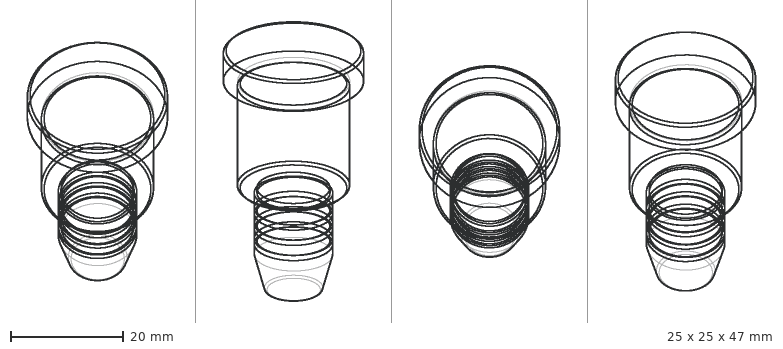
import cadquery as cq
import math

head_radius = 12.5
head_height = 6.0

shank_radius = 10.0
shank_length = 21.0
edge_chamfer = 0.5

groove_radius = 0.5
groove_width = 2 * groove_radius

neck_radius = 6.5
neck_length = 1.0
spigot_radius = 7.0
first_land_length = 3.0
land_length = 2.0
groove_count = 3
groove_pitch = groove_width + land_length

taper_length = 7.0
taper_angle = 15.0
tip_edge_radius = 0.5

land_bottom_z = taper_length
first_groove_top_z = land_bottom_z + groove_count * groove_pitch
spigot_top_z = first_groove_top_z + first_land_length
shank_bottom_z = spigot_top_z + neck_length
head_bottom_z = shank_bottom_z + shank_length
tip_radius = spigot_radius - taper_length * math.tan(math.radians(taper_angle))


def cylinder(radius, bottom_z, height):
    """Solid cylinder on the Z axis."""
    return cq.Workplane("XY").workplane(offset=bottom_z).circle(radius).extrude(height)


def round_groove(radius, top_z):
    """Torus cutter for a half-round groove in a cylinder of the given radius."""
    section = cq.Workplane("XZ").center(radius, top_z - groove_radius).circle(groove_radius)
    return section.revolve(360, (-radius, 0, 0), (-radius, 1, 0))


def make_head():
    """Round head with a chamfered top edge."""
    return cylinder(head_radius, head_bottom_z, head_height).faces(">Z").edges().chamfer(edge_chamfer)


def make_shank():
    """Shank with a chamfered lower edge and a half-round groove right under the head."""
    shank = cylinder(shank_radius, shank_bottom_z, shank_length)
    shank = shank.faces("<Z").edges().chamfer(edge_chamfer)
    return shank.cut(round_groove(shank_radius, head_bottom_z))


def make_spigot():
    """Spigot with evenly spaced half-round grooves, hung from the shank by a thinner neck."""
    spigot = cylinder(spigot_radius, land_bottom_z, spigot_top_z - land_bottom_z)
    for index in range(groove_count):
        spigot = spigot.cut(round_groove(spigot_radius, first_groove_top_z - index * groove_pitch))
    return spigot.union(cylinder(neck_radius, spigot_top_z, neck_length))


def make_tip():
    """Cone narrowing to the end face, with a rounded end edge."""
    profile = [(0, 0), (tip_radius, 0), (spigot_radius, taper_length), (0, taper_length)]
    tip = cq.Workplane("XZ").polyline(profile).close().revolve(360, (0, 0, 0), (0, 1, 0))
    return tip.faces("<Z").edges().fillet(tip_edge_radius)


result = make_head().union(make_shank()).union(make_spigot()).union(make_tip())